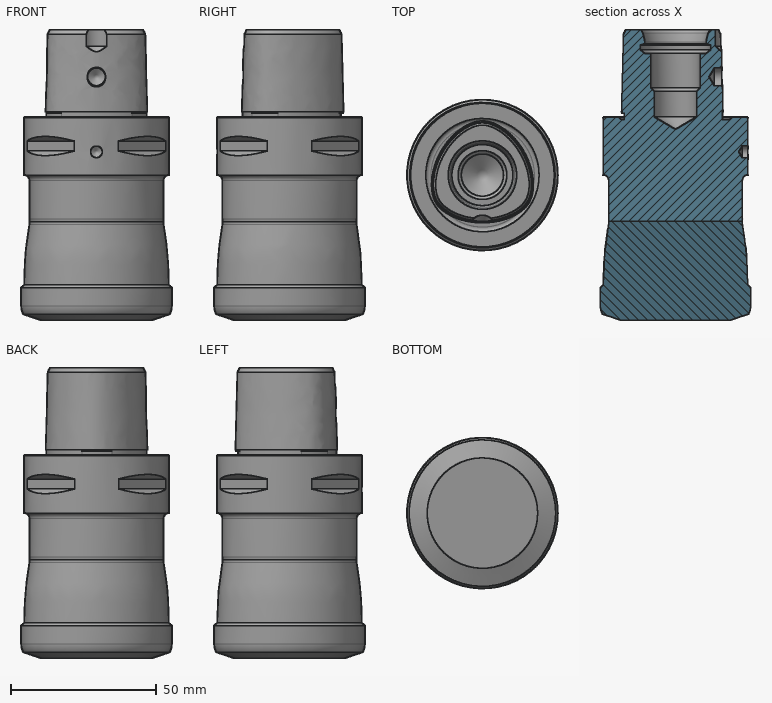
import cadquery as cq
import math


shank_height = 30.0
shank_width = 35.1
lobe = 1.1
taper_start = 1.8
taper_per_radius = 1 / 40
tip_chamfer_height = 1.6
tip_chamfer = 0.8
neck_offset = 0.2
lobe_relief_radius = 17.8
lobe_relief_top = 1.2
face_groove_radius = 19.5
face_groove_depth = 0.8

bore_mouth_dia = 23.6
bore_entry_dia = 22.4
bore_entry_depth = 1.1
bore_dia = 21.0
bore_lip_top = 4.2
bore_lip_bottom = 4.8
bore_groove_dia = 24.0
bore_groove_top = 5.3
bore_groove_bottom = 6.9
bore_depth = 8.1
pilot_mouth_dia = 16.8
pilot_mouth_depth = 20.0
pilot_dia = 14.5
pilot_depth = 30.0
pilot_point_height = 4.2

notch_radius = 4.4
notch_point_height = 4.0
notch_axis = 18.2
notch_depth = 5.6
dimple_dia = 6.1
dimple_mouth_dia = 6.7
dimple_z = 13.8
dimple_floor = 13.4
drill_half_angle = 59.0

flange_dia = 50.0
flange_height = 20.0
flange_chamfer = 0.3
collar_dia = 46.3
collar_end = 36.0
collar_fillet = 1.8
edge_chamfer = 1.0
edge_bevel = 0.1
mark_dia = 4.0
mark_z = -12.0
mark_floor = 23.0

slot_z = -10.0
slot_count = 4
slot_floor_distance = 22.2
slot_floor_height = 3.4
slot_wall_angle = 30.0
slot_overrun = 3.0

nut_end = 70.0
nut_skirt_dia = 49.9
nut_skirt_end = 57.8
nut_rim_dia = 52.0
nut_rim_start = 58.7
nut_round_start = 64.9
nut_round_end = 67.9
nut_round_dia = 50.4
nut_face_dia = 38.0


def polygon_wire(width, z):
    """Closed smooth wire of the constant-width three-lobed polygon."""
    samples = 48
    points = []
    for i in range(samples):
        a = 2 * math.pi * i / samples
        along = width / 2 * math.cos(a) + lobe * (2 * math.cos(2 * a) - math.cos(4 * a))
        across = width / 2 * math.sin(a) - lobe * (2 * math.sin(2 * a) + math.sin(4 * a))
        points.append(cq.Vector(-across, along, z))
    return cq.Wire.assembleEdges([cq.Edge.makeSpline(points, periodic=True)])


def polygon_loft(width_low, z_low, width_high, z_high):
    wires = [polygon_wire(width_low, z_low), polygon_wire(width_high, z_high)]
    return cq.Workplane(cq.Solid.makeLoft(wires, True))


def revolve(sketch):
    """Turn an (r, z) profile about the Z axis."""
    return sketch.close().revolve(360, (0, 0, 0), (0, 1, 0))


def make_shank():
    chamfer_z = shank_height - tip_chamfer_height
    tip_width = shank_width - 2 * taper_per_radius * (chamfer_z - taper_start)
    neck_width = shank_width - 2 * neck_offset
    neck = polygon_loft(neck_width, -face_groove_depth, neck_width, taper_start)
    relief = (
        cq.Workplane()
        .workplane(offset=-face_groove_depth)
        .circle(shank_width)
        .circle(lobe_relief_radius)
        .extrude(lobe_relief_top + face_groove_depth)
    )
    neck = neck.cut(relief)
    taper = polygon_loft(shank_width, taper_start, tip_width, chamfer_z)
    tip = polygon_loft(tip_width, chamfer_z, tip_width - 2 * tip_chamfer, shank_height)
    return neck.union(taper).union(tip)


def make_flange():
    """Flange with a concave ring groove in its face, and the collar below."""
    r = flange_dia / 2
    collar_r = collar_dia / 2
    groove_width = face_groove_radius - lobe_relief_radius
    profile = (
        cq.Workplane("XZ")
        .moveTo(0, -face_groove_depth)
        .lineTo(lobe_relief_radius, -face_groove_depth)
        .threePointArc(
            (face_groove_radius - groove_width * (1 - math.sin(math.pi / 4)),
             -face_groove_depth * math.cos(math.pi / 4)),
            (face_groove_radius, 0),
        )
        .lineTo(r - flange_chamfer, 0)
        .lineTo(r, -flange_chamfer)
        .lineTo(r, -flange_height)
        .lineTo(collar_r + collar_fillet, -flange_height)
        .radiusArc((collar_r, -flange_height - collar_fillet), -collar_fillet)
        .lineTo(collar_r, -collar_end + edge_chamfer)
        .lineTo(collar_r - edge_bevel, -collar_end)
        .lineTo(0, -collar_end)
    )
    return revolve(profile)


def make_bore():
    top = shank_height
    floor = top - bore_depth
    pilot_bevel = (pilot_mouth_dia - pilot_dia) / 2
    profile = (
        cq.Workplane("XZ")
        .moveTo(0, top)
        .lineTo(bore_mouth_dia / 2, top)
        .lineTo(bore_entry_dia / 2, top - bore_entry_depth)
        .lineTo(bore_dia / 2, top - bore_lip_top)
        .lineTo(bore_dia / 2, top - bore_lip_bottom)
        .lineTo(bore_groove_dia / 2, top - bore_groove_top)
        .lineTo(bore_groove_dia / 2, top - bore_groove_bottom)
        .lineTo(bore_dia / 2, floor)
        .lineTo(pilot_mouth_dia / 2, floor)
        .lineTo(pilot_mouth_dia / 2, top - pilot_mouth_depth)
        .lineTo(pilot_dia / 2, top - pilot_mouth_depth - pilot_bevel)
        .lineTo(pilot_dia / 2, top - pilot_depth)
        .lineTo(0, top - pilot_depth - pilot_point_height)
    )
    return revolve(profile)


def make_notch():
    z = shank_height - notch_depth
    profile = (
        cq.Workplane("XZ")
        .moveTo(0, shank_height)
        .lineTo(notch_radius, shank_height)
        .lineTo(notch_radius, z)
        .lineTo(0, z - notch_point_height)
    )
    return revolve(profile).translate((0, -notch_axis, 0))


def make_drilled_hole(dia, z, floor, outside):
    """Blind hole from the -Y side with a conical point."""
    point = dia / 2 / math.tan(math.radians(drill_half_angle))
    return (
        cq.Workplane("XY")
        .moveTo(0, -outside)
        .lineTo(dia / 2, -outside)
        .lineTo(dia / 2, -floor)
        .lineTo(0, -floor + point)
        .close()
        .revolve(360, (0, 0, 0), (0, 1, 0))
        .translate((0, 0, z))
    )


def make_dimple():
    surface = shank_width / 2 - lobe - taper_per_radius * (dimple_z - taper_start)
    bevel = (dimple_mouth_dia - dimple_dia) / 2
    hole = make_drilled_hole(dimple_dia, dimple_z, dimple_floor, shank_width / 2)
    mouth = cq.Solid.makeCone(
        dimple_mouth_dia / 2 + bevel, dimple_dia / 2, 2 * bevel,
        pnt=cq.Vector(0, -surface - bevel, dimple_z), dir=cq.Vector(0, 1, 0),
    )
    return hole.union(cq.Workplane(mouth))


def make_slot(angle):
    """Straight flared slot across the flange at the given angle."""
    half = slot_floor_height / 2
    flare = slot_overrun * math.tan(math.radians(slot_wall_angle)) + half
    outside = slot_floor_distance + slot_overrun
    return (
        cq.Workplane("XZ")
        .polyline([
            (slot_floor_distance, slot_z - half),
            (outside, slot_z - flare),
            (outside, slot_z + flare),
            (slot_floor_distance, slot_z + half),
        ])
        .close()
        .extrude(flange_dia / 2, both=True)
        .rotate((0, 0, 0), (0, 0, 1), angle)
    )


def make_holder():
    holder = make_flange().union(make_shank())
    holder = holder.cut(make_bore()).cut(make_notch()).cut(make_dimple())
    holder = holder.cut(make_drilled_hole(mark_dia, mark_z, mark_floor, flange_dia))
    for i in range(slot_count):
        holder = holder.cut(make_slot((i + 0.5) * 360 / slot_count))
    return holder


def make_nut():
    collar_r = collar_dia / 2
    skirt_r = nut_skirt_dia / 2
    rim_r = nut_rim_dia / 2
    skirt_start = collar_end + edge_chamfer
    flare_length = nut_skirt_end - skirt_start
    flare_depth = skirt_r - collar_r
    flare_radius = (flare_length**2 + flare_depth**2) / (2 * flare_depth)
    flare_mid = flare_length / 2
    flare_mid_r = skirt_r - flare_radius + math.sqrt(flare_radius**2 - flare_mid**2)
    profile = (
        cq.Workplane("XZ")
        .moveTo(0, -collar_end)
        .lineTo(collar_r - edge_bevel, -collar_end)
        .lineTo(collar_r, -skirt_start)
        .threePointArc((flare_mid_r, -nut_skirt_end + flare_mid), (skirt_r, -nut_skirt_end))
        .lineTo(rim_r, -nut_rim_start)
        .lineTo(rim_r, -nut_round_start)
        .tangentArcPoint((nut_round_dia / 2, -nut_round_end), relative=False)
        .lineTo(nut_face_dia / 2, -nut_end)
        .lineTo(0, -nut_end)
    )
    return revolve(profile)


holder = make_holder()
nut = make_nut()
result = cq.Compound.makeCompound([holder.val(), nut.val()])